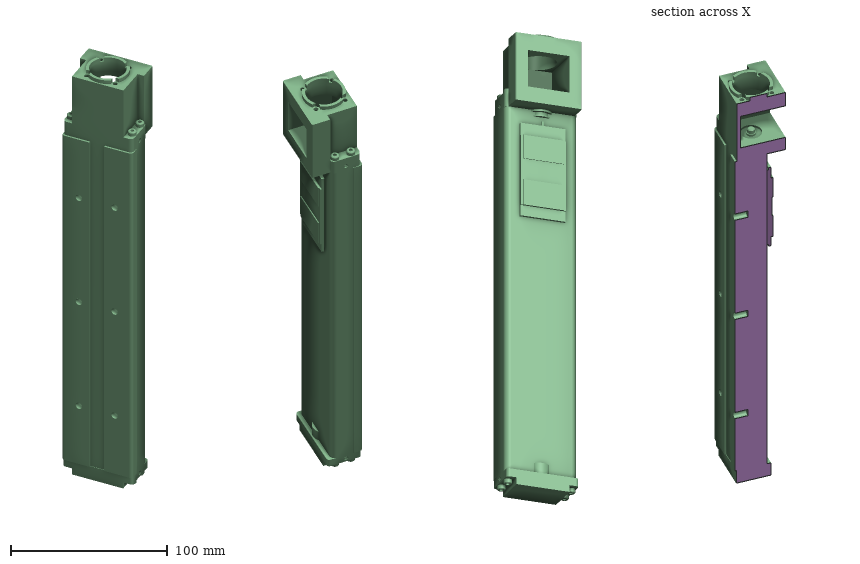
import cadquery as cq


total_length = 309.0
total_depth = 34.5
total_width = 50.0

rail_bottom = 10.2
rail_top = 260.0
rail_depth = 22.0
rail_front_round = 2.2
rail_back_round = 3.7
front_groove_width = 10.5
front_setback = 1.2
side_band_front = 6.8
side_band_depth = 0.3

mount_hole_diameter = 4.5
mount_hole_depth = 8.5
mount_hole_spacing_x = 25.3
mount_hole_pitch_z = 80.0
mount_hole_rows = 3

flange_width = total_width - 2 * side_band_depth
core_width = 36.5
wing_width = 45.5
wing_chamfer = 0.5
boss_height = 2.8
block_top = total_length - boss_height
block_flange_top = 270.0
block_flange_round = 2.8
cap_front = 1.0
cap_back = 24.7
cap_front_round = 2.0
cap_back_round = 2.2
cap_flange_bottom = 4.5

screw_head_diameter = 5.5
screw_head_height = 2.8
screw_head_chamfer = 0.45
screw_socket_diameter = 2.5
screw_socket_depth = 1.5
screw_x = 21.5
screw_y_places = (7.0, 18.2)
side_hole_diameter = 2.0
side_hole_depth = 3.0
side_counterbore_diameter = 3.0
side_counterbore_depth = 0.5
side_hole_y = 11.7
side_hole_z_places = (7.5, 263.3)

shaft_axis_y = 16.0
boss_diameter = 28.0
bore_diameter = 24.0
bore_floor = block_flange_top
motor_screw_diameter = 3.0
motor_screw_depth = 6.2
motor_screw_spacing = 20.5
boss_notch_diameter = 5.3
bearing_recess_diameter = 14.2
bearing_recess_depth = 1.5
collar_diameter = 6.0
collar_height = 1.5
shaft_diameter = 5.0
shaft_height = 4.5
shaft_chamfer = 0.5
chamber_width = 28.5
chamber_top = 295.0

upper_stop_steps = ((18.5, 1.2), (14.8, 2.2), (16.0, 1.0))
lower_stop_diameter = 15.5
lower_stop_length = 7.5

carriage_width = 31.0
neck_inset = 1.5
plate_front = 23.0
carriage_bottom = 185.0
carriage_top = 248.7
carriage_back = 24.7
saddle_back = 25.5
pad_back = 26.3
pad_spans = ((192.2, 209.5), (224.0, 240.0))
nipple_diameter = 2.0
nipple_length = 3.0


def bar(width, front, back, bottom, top):
    """Upright bar centred on X, between two Y places and two Z places."""
    return cq.Workplane("XY").box(width, back - front, top - bottom, centered=(True, False, False)).translate(
        (0, front, bottom)
    )


def rod(diameter, x, y, bottom, length):
    """Round rod standing along Z."""
    return cq.Workplane("XY", origin=(x, y, bottom)).circle(diameter / 2).extrude(length)


def rounded_bar(width, front, back, bottom, top, front_round, back_round):
    """Upright bar with its front and back vertical corners rounded."""
    body = bar(width, front, back, bottom, top)
    body = body.edges("|Z and <Y").fillet(front_round)
    return body.edges("|Z and >Y").fillet(back_round)


def make_rail():
    rail = rounded_bar(flange_width, 0, rail_depth, rail_bottom, rail_top, rail_front_round, rail_back_round)
    lip = bar(total_width, 0, side_band_front, rail_bottom, rail_top)
    lip = lip.edges("|Z and <Y").fillet(rail_front_round)
    groove = bar(front_groove_width, 0, front_setback, rail_bottom, rail_top)
    holes = (
        cq.Workplane("XZ", origin=(0, 0, (rail_bottom + rail_top) / 2))
        .rarray(mount_hole_spacing_x, mount_hole_pitch_z, 2, mount_hole_rows)
        .circle(mount_hole_diameter / 2)
        .extrude(-mount_hole_depth)
    )
    return rail.union(lip).cut(groove).cut(holes)


def make_end_block():
    core = bar(core_width, front_setback, total_depth, rail_top, block_top)
    wings = bar(wing_width, rail_depth, total_depth, rail_top, block_top)
    wings = wings.edges("|Z and >Y").chamfer(wing_chamfer)
    flange = rounded_bar(
        flange_width,
        front_setback,
        rail_depth,
        rail_top,
        block_flange_top,
        block_flange_round,
        block_flange_round,
    )
    boss = rod(boss_diameter, 0, shaft_axis_y, block_top, boss_height)
    return core.union(wings).union(flange).union(boss)


def cut_motor_mount(block):
    """Cut the bore, bearing recess, screw holes, boss notches and a coupling chamber open at the back."""
    bore = rod(bore_diameter, 0, shaft_axis_y, bore_floor, total_length - bore_floor)
    recess = rod(
        bearing_recess_diameter, 0, shaft_axis_y, bore_floor - bearing_recess_depth, bearing_recess_depth
    )
    screw_places = cq.Workplane("XY", origin=(0, shaft_axis_y, block_top)).rarray(
        motor_screw_spacing, motor_screw_spacing, 2, 2
    )
    motor_holes = screw_places.circle(motor_screw_diameter / 2).extrude(-motor_screw_depth)
    boss_notches = screw_places.circle(boss_notch_diameter / 2).extrude(boss_height)
    chamber_front = shaft_axis_y - bore_diameter / 2
    chamber = bar(chamber_width, chamber_front, total_depth, bore_floor, chamber_top)
    return block.cut(bore).cut(recess).cut(motor_holes).cut(boss_notches).cut(chamber)


def make_shaft_end():
    recess_floor = bore_floor - bearing_recess_depth
    collar = rod(collar_diameter, 0, shaft_axis_y, recess_floor, collar_height)
    shaft = rod(shaft_diameter, 0, shaft_axis_y, recess_floor, shaft_height)
    return collar.union(shaft.faces(">Z").chamfer(shaft_chamfer))


def make_end_cap():
    core = bar(core_width, cap_front, cap_back, 0, rail_bottom)
    flange = rounded_bar(
        flange_width, cap_front, cap_back, cap_flange_bottom, rail_bottom, cap_front_round, cap_back_round
    )
    return core.union(flange)


def make_screw_head(x, y, seat, direction):
    """Socket head standing on the seat; direction is +1 for up and -1 for down."""
    socket_start = seat + direction * (screw_head_height - screw_socket_depth)
    outer_end = ">Z" if direction > 0 else "<Z"
    head = rod(screw_head_diameter, x, y, seat, direction * screw_head_height)
    head = head.faces(outer_end).chamfer(screw_head_chamfer)
    return head.cut(rod(screw_socket_diameter, x, y, socket_start, direction * screw_socket_depth))


def add_screw_heads(body):
    for seat, direction in ((block_flange_top, 1), (cap_flange_bottom, -1)):
        for x in (-screw_x, screw_x):
            for y in screw_y_places:
                body = body.union(make_screw_head(x, y, seat, direction))
    return body


def cut_side_holes(body):
    """Blind counterbored holes in both side faces of the end block and the end cap."""
    for side in (-1, 1):
        for z in side_hole_z_places:
            mouth = cq.Workplane("YZ", origin=(side * flange_width / 2, side_hole_y, z))
            hole = mouth.circle(side_hole_diameter / 2).extrude(-side * side_hole_depth)
            counterbore = mouth.circle(side_counterbore_diameter / 2).extrude(-side * side_counterbore_depth)
            body = body.cut(hole).cut(counterbore)
    return body


def add_end_stops(body):
    step_top = rail_top
    for diameter, length in upper_stop_steps:
        body = body.union(rod(diameter, 0, shaft_axis_y, step_top, -length))
        step_top -= length
    return body.union(rod(lower_stop_diameter, 0, shaft_axis_y, rail_bottom, lower_stop_length))


def make_housing():
    body = make_rail().union(cut_motor_mount(make_end_block())).union(make_shaft_end()).union(make_end_cap())
    body = add_end_stops(add_screw_heads(body))
    return cut_side_holes(body)


def make_carriage():
    """Plate on a slightly smaller neck, with a raised saddle and two narrower pads on its back."""
    inner_width = carriage_width - 2 * neck_inset
    plate = bar(carriage_width, plate_front, carriage_back, carriage_bottom, carriage_top)
    neck = bar(inner_width, rail_depth, plate_front, carriage_bottom + neck_inset, carriage_top - neck_inset)
    saddle_bottom = pad_spans[0][0]
    saddle_top = pad_spans[-1][1]
    saddle = bar(carriage_width, carriage_back, saddle_back, saddle_bottom, saddle_top)
    body = plate.union(neck).union(saddle)
    for pad_bottom, pad_top in pad_spans:
        body = body.union(bar(inner_width, saddle_back, pad_back, pad_bottom, pad_top))
    nipple_y = (plate_front + carriage_back) / 2
    return body.union(rod(nipple_diameter, 0, nipple_y, carriage_top, nipple_length))


housing = make_housing()
carriage = make_carriage()
result = cq.Compound.makeCompound([housing.val(), carriage.val()])